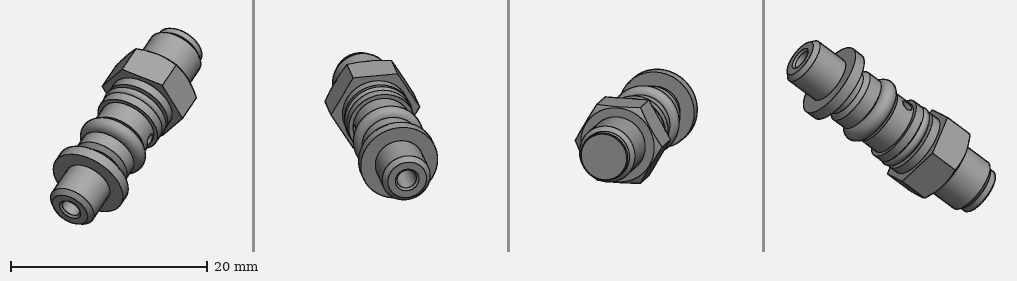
import cadquery as cq
import math


hex_start = 16.0
hex_end = 19.5
hex_across_corners = 9.24
hex_corner_radius = hex_across_corners / 2
hex_flat_radius = hex_corner_radius * math.cos(math.radians(30))
hex_chamfer_face_radius = 3.9
hex_chamfer_angle = 30.0

total_length = 24.5
nose_radius = 2.5
nose_chamfer = 0.5
collar_start = 4.0
collar_end = 5.2
collar_radius = hex_flat_radius
shoulder_start = 6.4
shoulder_chamfer = 0.5
shoulder_radius = nose_radius + shoulder_chamfer

front_groove_start = 8.4
front_groove_width = 2.2
front_groove_radius = 2.03
front_ring_outer_radius = 3.63
front_ring_cord_radius = 0.88

land_start = 12.8
land_radius = 3.43
rear_groove_start = 13.8
rear_groove_end = 15.02
rear_groove_radius = 2.8
rear_groove_wall_angle = 5.0
rear_groove_wall_run = (land_radius - rear_groove_radius) * math.tan(math.radians(rear_groove_wall_angle))
bead_outer_radius = 3.53
bead_cord_radius = 0.51
bead_y = 14.28

tail_radius = 2.95
tail_chamfer = 0.45
tail_chamfer_end = 23.75
tail_tip_radius = tail_radius - tail_chamfer
tail_tip_chamfer = 0.1

bore_radius = 1.0
bore_chamfer = 0.22
bore_depth = 5.0
side_hole_y = 11.95
side_hole_radius = 0.61
side_hole_depth = 1.0
side_hole_floor_radius = shoulder_radius - side_hole_depth


def cylinder(radius, start, end):
    """Solid cylinder on the Y axis between two distances from the nose tip."""
    return cq.Workplane("XZ", origin=(0, start, 0)).circle(radius).extrude(start - end)


def revolve_profile(points):
    """Revolve a (radius, distance) outline about the Y axis."""
    return cq.Workplane("ZY").polyline(points).close().revolve(360, (0, 0, 0), (0, 1, 0))


def make_ring(outer_radius, cord_radius, center_y, seat_radius):
    """Round-cord ring, flattened on the inside where it sits on its groove floor."""
    cord_center = outer_radius - cord_radius
    cord = cq.Workplane("ZY").center(cord_center, center_y).circle(cord_radius)
    ring = cord.revolve(360, (-cord_center, 0, 0), (-cord_center, 1, 0))
    return ring.cut(cylinder(seat_radius, center_y - cord_radius, center_y + cord_radius))


def make_turned_shape():
    """Turned outside of the fitting, without the hexagon and the bead."""
    front_groove_end = front_groove_start + front_groove_width
    return revolve_profile([
        (0, 0),
        (nose_radius - nose_chamfer, 0),
        (nose_radius, nose_chamfer),
        (nose_radius, collar_start),
        (collar_radius, collar_start),
        (collar_radius, collar_end),
        (nose_radius, collar_end),
        (nose_radius, shoulder_start),
        (shoulder_radius, shoulder_start + shoulder_chamfer),
        (shoulder_radius, front_groove_start),
        (front_groove_radius, front_groove_start),
        (front_groove_radius, front_groove_end),
        (shoulder_radius, front_groove_end),
        (shoulder_radius, land_start),
        (land_radius, land_start),
        (land_radius, rear_groove_start),
        (rear_groove_radius, rear_groove_start + rear_groove_wall_run),
        (rear_groove_radius, rear_groove_end - rear_groove_wall_run),
        (land_radius, rear_groove_end),
        (land_radius, hex_start),
        (tail_radius, hex_start),
        (tail_radius, tail_chamfer_end - tail_chamfer),
        (tail_tip_radius, tail_chamfer_end),
        (tail_tip_radius, total_length - tail_tip_chamfer),
        (tail_tip_radius - tail_tip_chamfer, total_length),
        (0, total_length),
    ])


def make_hexagon():
    """Hexagon with its rear corners turned to a cone."""
    chamfer_width = hex_corner_radius - hex_chamfer_face_radius
    chamfer_depth = chamfer_width * math.tan(math.radians(hex_chamfer_angle))
    prism = (
        cq.Workplane("XZ", origin=(0, hex_start, 0))
        .polygon(6, hex_across_corners)
        .extrude(hex_start - hex_end)
    )
    turned_blank = revolve_profile([
        (0, hex_start),
        (hex_corner_radius, hex_start),
        (hex_corner_radius, hex_end - chamfer_depth),
        (hex_chamfer_face_radius, hex_end),
        (0, hex_end),
    ])
    return prism.intersect(turned_blank)


def make_bore():
    """Blind bore from the nose with a chamfered mouth."""
    return revolve_profile([
        (0, 0),
        (bore_radius + bore_chamfer, 0),
        (bore_radius, bore_chamfer),
        (bore_radius, bore_depth),
        (0, bore_depth),
    ])


def make_side_holes():
    """Blind holes from the -X and +X sides, with floors that follow the round of the fitting."""
    through_hole = (
        cq.Workplane("YZ", origin=(-shoulder_radius, 0, 0))
        .center(side_hole_y, 0)
        .circle(side_hole_radius)
        .extrude(2 * shoulder_radius)
    )
    hole_start = side_hole_y - 2 * side_hole_radius
    hole_end = side_hole_y + 2 * side_hole_radius
    return through_hole.cut(cylinder(side_hole_floor_radius, hole_start, hole_end))


def make_fitting():
    """Turned fitting with its hexagon, fixed bead, bore and side holes."""
    bead = make_ring(bead_outer_radius, bead_cord_radius, bead_y, rear_groove_radius)
    fitting = make_turned_shape().union(make_hexagon()).union(bead)
    return fitting.cut(make_bore()).cut(make_side_holes())


def make_o_ring():
    """Loose O-ring in the middle of the front groove."""
    center_y = front_groove_start + front_groove_width / 2
    return make_ring(front_ring_outer_radius, front_ring_cord_radius, center_y, front_groove_radius)


fitting = make_fitting()
o_ring = make_o_ring()

result = cq.Compound.makeCompound([fitting.val(), o_ring.val()])